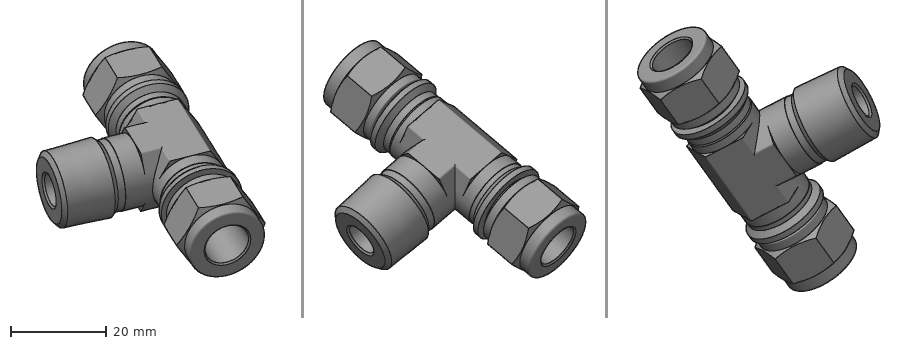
import cadquery as cq
import math


run_length = 61.2
half_run = run_length / 2
branch_end = 28.2

body_diameter = 15.9
body_radius = body_diameter / 2
bar_half_length = 9.3
bar_corner_radius = body_diameter / math.sqrt(3)
bar_edge_rounding = 0.5

nut_across_flats = 17.4
nut_corner_radius = nut_across_flats / math.sqrt(3)
nut_collar_radius = 8.5
nut_collar_length = 3.0
nut_hex_end = 11.95
nut_front_chamfer = 0.85
nut_rear_chamfer = 0.9
nut_rear_radius = 8.4
nut_rear_end = 13.95
nut_front_rounding = 0.5
nut_rear_rounding = 0.2

gap_radius = 7.1
gap_end = 14.75
flange_radius = 9.1
flange_end = 16.1
neck_radius = 7.85
neck_start = 17.3
left_neck_end = 19.05
left_neck_taper = 0.35
right_neck_end = 18.5

branch_neck_start = 14.0
branch_neck_radius = 7.85
thread_relief_end = 15.7
thread_start = 16.7
thread_start_radius = 8.75
thread_end_radius = 8.4
thread_chamfer_length = 0.9
tip_radius = 7.3

bore_radius = 3.6
bore_chamfer = 0.4
socket_radius = 4.9
socket_depth = gap_end
socket_chamfer = 0.35


def turned(points):
    """Solid of revolution about the X axis from an (x, radius) outline that starts on the axis."""
    return cq.Workplane("XY").polyline(points).close().revolve(360, (0, 0), (1, 0))


def to_branch(solid):
    """Turn a solid lying along +X so that it lies along -Y."""
    return solid.rotate((0, 0, 0), (0, 0, 1), -90)


def hexagonal_bar(start):
    """Hexagonal bar along X from x = start, with its top and bottom edges rounded."""
    section = cq.Workplane("YZ").workplane(offset=start).polygon(6, 2 * bar_corner_radius)
    bar = section.extrude(bar_half_length - start)
    return bar.edges("|X").edges(">Z or <Z").fillet(bar_edge_rounding)


def nut():
    """Compression nut at the -X end of the run."""
    start = -half_run
    collar = turned([
        (start, 0),
        (start, nut_collar_radius),
        (start + nut_collar_length, nut_collar_radius),
        (start + nut_collar_length, 0),
    ]).faces("<X").edges().fillet(nut_front_rounding)
    rear = turned([
        (start + nut_collar_length, 0),
        (start + nut_collar_length, nut_rear_radius),
        (start + nut_rear_end, nut_rear_radius),
        (start + nut_rear_end, 0),
    ]).faces(">X").edges().fillet(nut_rear_rounding)
    hex_start = start + nut_collar_length
    hex_end = start + nut_hex_end
    hexagon = (
        cq.Workplane("YZ").workplane(offset=hex_start)
        .polygon(6, 2 * nut_corner_radius).extrude(hex_end - hex_start)
    )
    corner_cones = turned([
        (hex_start, 0),
        (hex_start, nut_collar_radius),
        (hex_start + nut_front_chamfer, nut_corner_radius),
        (hex_end - nut_rear_chamfer, nut_corner_radius),
        (hex_end, nut_rear_radius),
        (hex_end, 0),
    ])
    return collar.union(rear).union(hexagon.intersect(corner_cones))


def run_arm(neck_end, neck_taper):
    """Turned arm of the run towards -X: gap behind the nut, flange, neck and body."""
    start = -half_run
    return turned([
        (start + nut_collar_length, 0),
        (start + nut_collar_length, gap_radius),
        (start + gap_end, gap_radius),
        (start + gap_end, flange_radius),
        (start + flange_end, flange_radius),
        (start + neck_start, neck_radius),
        (start + neck_end, neck_radius),
        (start + neck_end + neck_taper, body_radius),
        (0, body_radius),
        (0, 0),
    ])


def branch_arm():
    """Turned branch with its thread relief and tapered thread."""
    return to_branch(turned([
        (0, 0),
        (0, body_radius),
        (branch_neck_start, body_radius),
        (branch_neck_start, branch_neck_radius),
        (thread_relief_end, branch_neck_radius),
        (thread_start, thread_start_radius),
        (branch_end - thread_chamfer_length, thread_end_radius),
        (branch_end, tip_radius),
        (branch_end, 0),
    ]))


def tee_flats():
    """Hexagonal bar along the run and the branch, trimmed where its sloping flats touch the turned body.

    Only the corner of the run on the +Y side stays whole.
    """
    touch_distance = body_radius * math.cos(math.pi / 6)
    size = 2 * bar_half_length
    run_trim = cq.Workplane("XY").box(size, size, size).translate((0, bar_half_length - touch_distance, 0))
    branch_trim = cq.Workplane("XY").box(2 * touch_distance, 2 * size, size)
    run_flats = hexagonal_bar(-bar_half_length).intersect(run_trim)
    branch_flats = to_branch(hexagonal_bar(0)).intersect(branch_trim)
    return run_flats.union(branch_flats)


def socket():
    """Tube socket with a chamfered mouth at the -X end of the run."""
    start = -half_run
    return turned([
        (start, 0),
        (start, socket_radius + socket_chamfer),
        (start + socket_chamfer, socket_radius),
        (start + socket_depth, socket_radius),
        (start + socket_depth, 0),
    ])


def branch_bore():
    """Bore from the run axis to the chamfered mouth at the tip of the branch."""
    return to_branch(turned([
        (0, 0),
        (0, bore_radius),
        (branch_end - bore_chamfer, bore_radius),
        (branch_end, bore_radius + bore_chamfer),
        (branch_end, 0),
    ]))


left_arm = run_arm(left_neck_end, left_neck_taper)
right_arm = run_arm(right_neck_end, 0).mirror("YZ")
outside = left_arm.union(right_arm).union(branch_arm()).union(tee_flats())
outside = outside.union(nut()).union(nut().mirror("YZ"))

run_bore = cq.Workplane("YZ").circle(bore_radius).extrude(half_run, both=True)
result = outside.cut(run_bore).cut(branch_bore()).cut(socket()).cut(socket().mirror("YZ"))